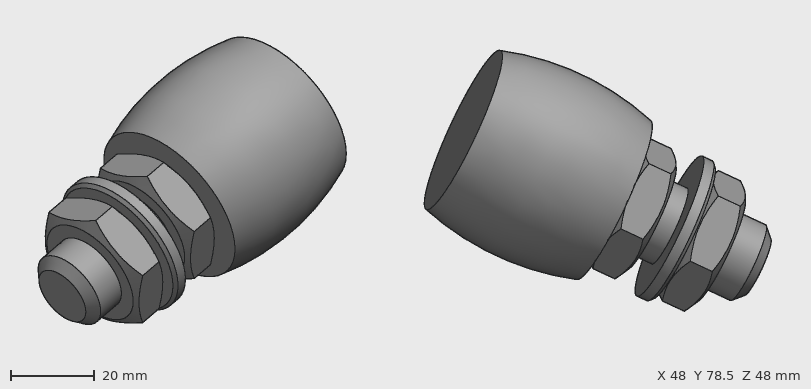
import cadquery as cq
import math

TOTAL_LENGTH = 78.5

ROLLER_LENGTH = 40.0
ROLLER_CROWN_DIAMETER = 48.0
ROLLER_END_DIAMETER = 42.0
SOCKET_DEPTH = ROLLER_LENGTH / 2

STUD_DIAMETER = 20.0
STUD_CHAMFER = 2.5

NUT_HEIGHT = 10.0
NUT_ACROSS_FLATS = 30.0
NUT_FACE_DIAMETER = 27.55
NUT_CHAMFER_ANGLE = 30.0

WASHER_DIAMETER = 37.0
WASHER_THICKNESS = 3.5
WASHER_CHAMFER = 0.9
WASHER_GAP = 5.0

TIP_Y = -TOTAL_LENGTH / 2
ROLLER_BACK_Y = TOTAL_LENGTH / 2
ROLLER_FRONT_Y = ROLLER_BACK_Y - ROLLER_LENGTH
LOCK_NUT_Y = ROLLER_FRONT_Y - NUT_HEIGHT
WASHER_Y = LOCK_NUT_Y - WASHER_GAP - WASHER_THICKNESS
MOUNTING_NUT_Y = WASHER_Y - NUT_HEIGHT


def cylinder(diameter, start_y, length):
    """Cylinder on the Y axis, running from start_y toward +Y."""
    plane = cq.Workplane("XZ", origin=(0, start_y, 0))
    return plane.circle(diameter / 2).extrude(-length)


def revolve_about_y(profile):
    return profile.close().revolve(360, (0, 0, 0), (0, 1, 0))


def make_stud():
    """Round stud with a chamfered tip; its other end sits in the roller."""
    stud = cylinder(STUD_DIAMETER, TIP_Y, ROLLER_FRONT_Y + SOCKET_DEPTH - TIP_Y)
    return stud.faces("<Y").chamfer(STUD_CHAMFER)


def make_roller():
    """Barrel with an arc-shaped side and a blind socket for the stud."""
    end_radius = ROLLER_END_DIAMETER / 2
    crown = (ROLLER_CROWN_DIAMETER / 2, ROLLER_FRONT_Y + ROLLER_LENGTH / 2)
    profile = (
        cq.Workplane("XY")
        .moveTo(0, ROLLER_FRONT_Y)
        .lineTo(end_radius, ROLLER_FRONT_Y)
        .threePointArc(crown, (end_radius, ROLLER_BACK_Y))
        .lineTo(0, ROLLER_BACK_Y)
    )
    return revolve_about_y(profile).cut(cylinder(STUD_DIAMETER, ROLLER_FRONT_Y, SOCKET_DEPTH))


def make_nut(start_y):
    """Hexagon nut with corners up and down, and conical chamfers on both faces."""
    corner_diameter = NUT_ACROSS_FLATS / math.cos(math.pi / 6)
    hexagon = (
        cq.Workplane("XZ", origin=(0, start_y, 0))
        .transformed(rotate=(0, 0, 90))
        .polygon(6, corner_diameter)
        .extrude(-NUT_HEIGHT)
    )
    face_radius = NUT_FACE_DIAMETER / 2
    corner_radius = corner_diameter / 2
    corner_drop = (corner_radius - face_radius) * math.tan(math.radians(NUT_CHAMFER_ANGLE))
    end_y = start_y + NUT_HEIGHT
    chamfered_blank = revolve_about_y(
        cq.Workplane("XY")
        .moveTo(0, start_y)
        .lineTo(face_radius, start_y)
        .lineTo(corner_radius, start_y + corner_drop)
        .lineTo(corner_radius, end_y - corner_drop)
        .lineTo(face_radius, end_y)
        .lineTo(0, end_y)
    )
    bore = cylinder(STUD_DIAMETER, start_y, NUT_HEIGHT)
    return hexagon.intersect(chamfered_blank).cut(bore)


def make_washer():
    """Flat washer, chamfered on the rim facing the mounting nut."""
    disc = cylinder(WASHER_DIAMETER, WASHER_Y, WASHER_THICKNESS)
    disc = disc.faces("<Y").chamfer(WASHER_CHAMFER)
    return disc.cut(cylinder(STUD_DIAMETER, WASHER_Y, WASHER_THICKNESS))


stud = make_stud().solids()
roller = make_roller().solids()
washer = make_washer().solids()
nuts = [make_nut(start_y).solids().val() for start_y in (LOCK_NUT_Y, MOUNTING_NUT_Y)]

result = cq.Compound.makeCompound([stud.val(), roller.val(), washer.val(), *nuts])